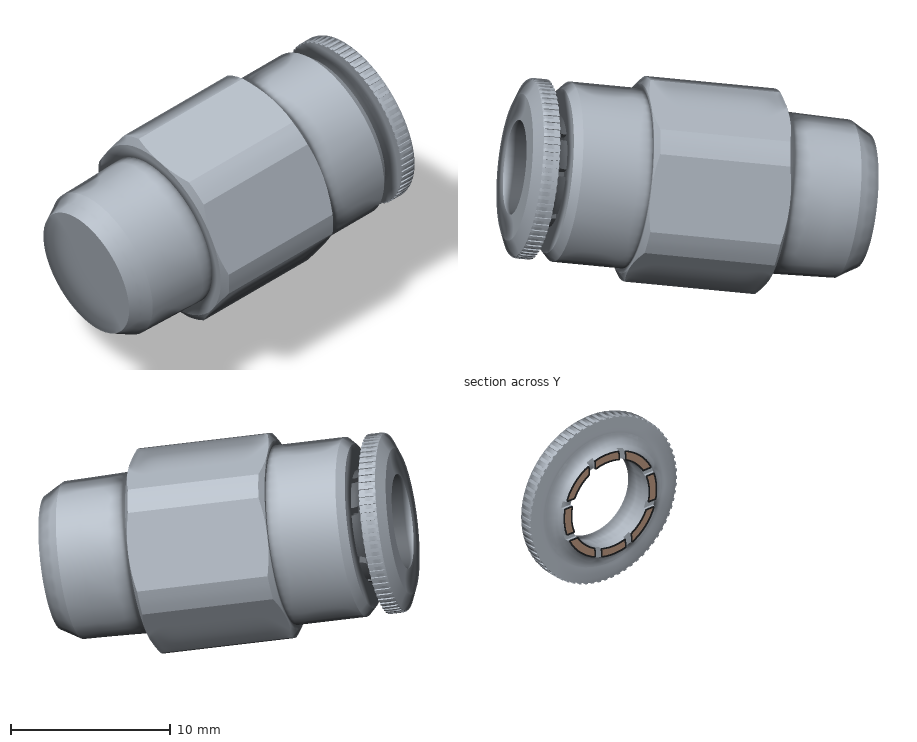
import cadquery as cq
import math


plug_length = 6.0
plug_tip_radius = 4.25
plug_chamfer_length = 1.3
plug_small_radius = 5.0
plug_large_radius = 5.13

hex_sides = 6
hex_length = 9.0
hex_across_flats = 12.0
hex_corner_diameter = 12.98
hex_chamfer_angle = 30.0
hex_turn = 30.0

body_length = 5.0
body_radius = 5.7
body_chamfer = 0.5

neck_length = 1.0
neck_radius = 3.55
flange_radius = 5.6
flange_chamfer_length = 0.45
flange_end_radius = 4.64
collar_turn = -4.5

tooth_count = 70
tooth_share_of_pitch = 0.42
tooth_height = body_radius - flange_radius
tooth_rounding_length = 0.25

slot_width = 0.45
slot_height = 0.5
slot_offset = 1.17

bore_radius = 3.0

total_length = 22.5
hex_front = plug_length
hex_back = hex_front + hex_length
body_back = hex_back + body_length
flange_front = body_back + neck_length


def revolve_about_y(profile):
    return profile.close().revolve(360, (0, 0, 0), (0, 1, 0))


def cylinder_along_y(radius, start, end):
    return cq.Workplane("XZ", origin=(0, start, 0)).circle(radius).extrude(start - end)


def make_plug():
    """Tapered plug with a chamfered tip and a plain closed end."""
    return revolve_about_y(
        cq.Workplane("XY")
        .lineTo(plug_tip_radius, 0)
        .lineTo(plug_small_radius, plug_chamfer_length)
        .lineTo(plug_large_radius, hex_front)
        .lineTo(0, hex_front)
    )


def make_hexagon():
    """Hexagon with flats facing +Z and -Z, rounded corners and coned ends."""
    face_radius = hex_across_flats / 2
    corner_radius = hex_corner_diameter / 2
    cone_length = (corner_radius - face_radius) * math.tan(math.radians(hex_chamfer_angle))
    prism = (
        cq.Workplane("XZ", origin=(0, hex_front, 0))
        .polygon(hex_sides, hex_across_flats, circumscribed=True)
        .extrude(-hex_length)
        .rotate((0, 0, 0), (0, 1, 0), hex_turn)
    )
    envelope = revolve_about_y(
        cq.Workplane("XY")
        .moveTo(0, hex_front)
        .lineTo(face_radius, hex_front)
        .lineTo(corner_radius, hex_front + cone_length)
        .lineTo(corner_radius, hex_back - cone_length)
        .lineTo(face_radius, hex_back)
        .lineTo(0, hex_back)
    )
    return prism.intersect(envelope)


def make_body():
    return cylinder_along_y(body_radius, hex_back, body_back).faces(">Y").chamfer(body_chamfer)


def make_neck_and_flange():
    """Neck that flares in a quarter arc into the underside of the flange."""
    return revolve_about_y(
        cq.Workplane("XY")
        .moveTo(0, body_back)
        .lineTo(neck_radius, body_back)
        .radiusArc((neck_radius + neck_length, flange_front), neck_length)
        .lineTo(flange_radius, flange_front)
        .lineTo(flange_radius, total_length - flange_chamfer_length)
        .lineTo(flange_end_radius, total_length)
        .lineTo(0, total_length)
    )


def make_knurl():
    """List of narrow axial teeth spaced round the flange, each rounded off at its +Y end."""
    pitch_angle = 360 / tooth_count
    tooth_angle = pitch_angle * tooth_share_of_pitch
    root_radius = flange_radius - tooth_height
    tooth_back = total_length - flange_chamfer_length
    rounding_radius = (tooth_rounding_length**2 + tooth_height**2) / (2 * tooth_height)
    tooth = (
        cq.Workplane("XY")
        .moveTo(root_radius, flange_front)
        .lineTo(body_radius, flange_front)
        .lineTo(body_radius, tooth_back - tooth_rounding_length)
        .radiusArc((flange_radius, tooth_back), -rounding_radius)
        .lineTo(root_radius, tooth_back)
        .close()
        .revolve(tooth_angle, (0, 0, 0), (0, 1, 0))
        .rotate((0, 0, 0), (0, 1, 0), -tooth_angle / 2)
        .val()
    )
    return [tooth.rotate((0, 0, 0), (0, 1, 0), index * pitch_angle) for index in range(tooth_count)]


def make_slots():
    """Two pairs of parallel slots crossing the neck at right angles."""
    slot_length = 2 * flange_radius
    slot_middle = body_back + slot_height / 2
    slots = cq.Workplane("XY")
    for side in (-slot_offset, slot_offset):
        along_z = cq.Workplane("XY").box(slot_width, slot_height, slot_length)
        along_x = cq.Workplane("XY").box(slot_length, slot_height, slot_width)
        slots = slots.union(along_z.translate((side, slot_middle, 0)))
        slots = slots.union(along_x.translate((0, slot_middle, side)))
    return slots


def make_collar():
    blank = make_neck_and_flange().cut(make_slots())
    collar = cq.Workplane("XY").newObject([blank.val().fuse(*make_knurl())])
    return collar.rotate((0, 0, 0), (0, 1, 0), collar_turn)


bore = cylinder_along_y(bore_radius, hex_front, total_length)

result = make_plug().union(make_hexagon()).union(make_body()).union(make_collar()).cut(bore)